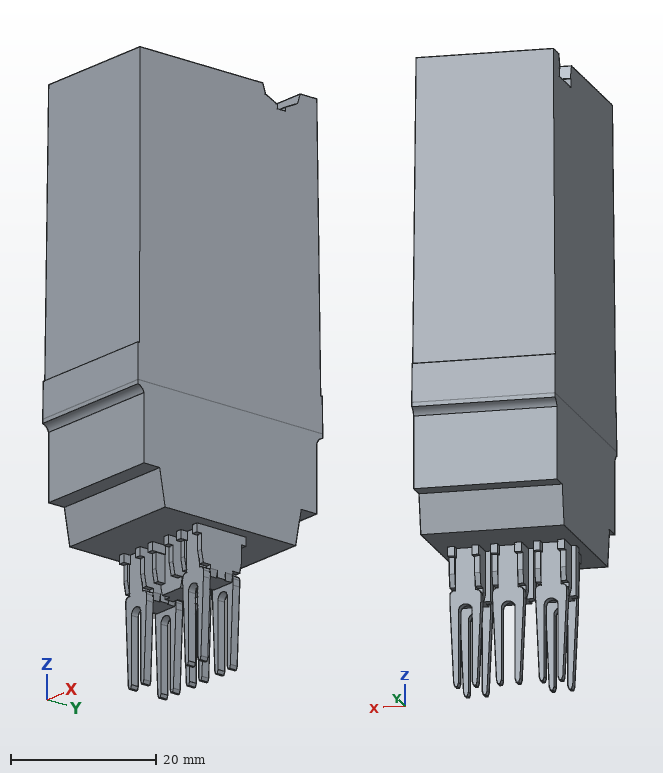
import cadquery as cq
import math


OVERALL_HEIGHT = 88.4

CASE_WIDTH = 20.4
CASE_DEPTH = 33.2
CASE_TOP = 66.8
DRAFT = math.tan(math.radians(0.5))
DRAFT_START = 17.6
COVER_TOP_HALF_DEPTH = 15.9
BAND_TOP = 23.2
BAND_BOTTOM = 17.0
BAND_COVE = 1.1
BAND_COVE_RADIUS = 1.6
PLINTH_TOP = 5.6
PLINTH_TOP_HALF_DEPTH = 12.7
PLINTH_TAPER = math.tan(math.radians(10))

GROOVE_Y = 9.55
GROOVE_DEPTH = 3.2
GROOVE_TOP_HALF = 3.4
LIP_HALF = 2.7
LIP_DEPTH = 1.95
UNDERCUT_HALF = 3.1
CLIP_THICKNESS = 1.1
CLIP_GAP_HALF = 0.7
CLIP_OUTER_DEPTH = 1.4
CLIP_INNER_DEPTH = 2.6

LAMP_Y = -8.3
LAMP_RADIUS = 1.5
LAMP_NECK_RADIUS = 1.4
LAMP_NECK_HEIGHT = 0.4

TERMINAL_PITCH = 6.1
HOLDER_HALF_WIDTH = 2.2
WALL_THICKNESS = 0.8
FLANGE_HALF_DEPTH = 4.4
FLANGE_DROP = 1.3
FLANGE_THICKNESS = 1.0
WALL_HALF_DEPTH = 3.6
WALL_TAPER_DROP = 3.7
WALL_DROP = 5.6
WEB_LEFT = 2.9
WEB_HALF_THICKNESS = 0.7
CORE_DROP = 7.2
CORE_BEVEL_DROP = 6.1
CORE_BEVEL = 0.3
FORK_INNER_Y = 2.0
FORK_OUTER_Y = 3.3
FORK_DROP = OVERALL_HEIGHT - (CASE_TOP + LAMP_NECK_HEIGHT + LAMP_RADIUS)
FORK_HALF_WIDTH = 2.2
FORK_TIP_HALF_WIDTH = 1.7
SHOULDER_DROP = 6.0
SHOULDER_RADIUS = 0.6
TAPER_DROP = 7.6
SLOT_RADIUS = 1.0
SLOT_DROP = 8.0
TIP_BEVEL = 0.2
TIP_BEVEL_HEIGHT = 0.5


def mirrored(half):
    """Complete a half outline on the positive side with its mirror image about the vertical axis."""
    return half + [(-u, z) for u, z in reversed(half)]


def box(x_range, y_range, z_range):
    lengths = [high - low for low, high in (x_range, y_range, z_range)]
    return cq.Workplane("XY").box(*lengths, centered=False).translate((x_range[0], y_range[0], z_range[0]))


def case():
    half_width = CASE_WIDTH / 2
    half_depth = CASE_DEPTH / 2
    cover_bottom_half = COVER_TOP_HALF_DEPTH + (CASE_TOP - BAND_TOP) * DRAFT
    band_top_half = half_depth - (BAND_TOP - DRAFT_START) * DRAFT
    plinth_bottom_half = PLINTH_TOP_HALF_DEPTH - PLINTH_TOP * PLINTH_TAPER
    body_half = half_depth - BAND_COVE
    depth_outline = mirrored([
        (COVER_TOP_HALF_DEPTH, CASE_TOP),
        (cover_bottom_half, BAND_TOP),
        (band_top_half, BAND_TOP),
        (half_depth, DRAFT_START),
        (half_depth, BAND_BOTTOM),
        (body_half, BAND_BOTTOM),
        (body_half, PLINTH_TOP),
        (PLINTH_TOP_HALF_DEPTH, PLINTH_TOP),
        (plinth_bottom_half, 0),
    ])
    solid = cq.Workplane("YZ").polyline(depth_outline).close().extrude(half_width, both=True)
    for side in (-1, 1):
        cove_block = (
            cq.Workplane("YZ")
            .moveTo(side * body_half, BAND_BOTTOM)
            .lineTo(side * half_depth, BAND_BOTTOM)
            .radiusArc((side * body_half, BAND_BOTTOM - BAND_COVE), -side * BAND_COVE_RADIUS)
            .close()
            .extrude(half_width, both=True)
        )
        solid = solid.union(cove_block)
    top_half_width = half_width - (CASE_TOP - DRAFT_START) * DRAFT
    width_outline = mirrored([
        (top_half_width, CASE_TOP),
        (half_width, DRAFT_START),
        (half_width, 0),
    ])
    return solid.intersect(cq.Workplane("XZ").polyline(width_outline).close().extrude(CASE_DEPTH, both=True))


def lid_groove():
    """Cutter for the groove, leaving the clips standing."""
    lid_plane = cq.Workplane("YZ", origin=(0, GROOVE_Y, CASE_TOP))
    groove_outline = mirrored([
        (GROOVE_TOP_HALF, 0),
        (LIP_HALF, -LIP_DEPTH),
        (UNDERCUT_HALF, -LIP_DEPTH),
        (UNDERCUT_HALF, -GROOVE_DEPTH),
    ])
    groove = lid_plane.polyline(groove_outline).close().extrude(CASE_WIDTH / 2, both=True)
    clip_start = CASE_WIDTH / 2 - (CASE_TOP - DRAFT_START) * DRAFT - CLIP_THICKNESS
    for side in (-1, 1):
        clip_outline = [
            (side * UNDERCUT_HALF, -GROOVE_DEPTH),
            (side * UNDERCUT_HALF, -CLIP_OUTER_DEPTH),
            (side * CLIP_GAP_HALF, -CLIP_INNER_DEPTH),
            (side * CLIP_GAP_HALF, -GROOVE_DEPTH),
        ]
        clip = lid_plane.workplane(offset=clip_start).polyline(clip_outline).close().extrude(CASE_WIDTH)
        groove = groove.cut(clip)
    return groove


def lamp():
    neck_top = CASE_TOP + LAMP_NECK_HEIGHT
    neck = cq.Workplane("XY", origin=(0, LAMP_Y, CASE_TOP)).circle(LAMP_NECK_RADIUS).extrude(LAMP_NECK_HEIGHT)
    dome = (
        cq.Workplane("XZ", origin=(0, LAMP_Y, neck_top))
        .lineTo(LAMP_RADIUS, 0)
        .radiusArc((0, LAMP_RADIUS), -LAMP_RADIUS)
        .close()
        .revolve(360, (0, 0, 0), (0, 1, 0))
    )
    return neck.union(dome)


def holder():
    """Terminal holder: centre web, bevelled core and two stepped side walls."""
    web = box(
        (-WEB_LEFT, HOLDER_HALF_WIDTH),
        (-WEB_HALF_THICKNESS, WEB_HALF_THICKNESS),
        (-CORE_DROP, 0),
    )
    core_outline = mirrored([
        (HOLDER_HALF_WIDTH, 0),
        (HOLDER_HALF_WIDTH, -CORE_BEVEL_DROP),
        (HOLDER_HALF_WIDTH - CORE_BEVEL, -CORE_DROP),
    ])
    core = cq.Workplane("XZ").polyline(core_outline).close().extrude(FORK_INNER_Y, both=True)
    wall_outline = mirrored([
        (WALL_HALF_DEPTH, 0),
        (WALL_HALF_DEPTH, -WALL_TAPER_DROP),
        (FORK_OUTER_Y, -WALL_DROP),
    ])
    wall = cq.Workplane("YZ").polyline(wall_outline).close().extrude(WALL_THICKNESS)
    flange = box(
        (0, FLANGE_THICKNESS),
        (-FLANGE_HALF_DEPTH, FLANGE_HALF_DEPTH),
        (-FLANGE_DROP, 0),
    )
    left_wall = wall.union(flange).translate((-HOLDER_HALF_WIDTH, 0, 0))
    return web.union(core).union(left_wall).union(left_wall.mirror("YZ"))


def fork():
    """Two-pronged contact blade lying behind the XZ plane, at +Y."""
    neck_half = HOLDER_HALF_WIDTH - WALL_THICKNESS
    tip_bevel_top = TIP_BEVEL_HEIGHT - FORK_DROP
    thickness = FORK_OUTER_Y - FORK_INNER_Y
    blade_plane = cq.Workplane("XZ", origin=(0, FORK_OUTER_Y, 0))
    neck = box((-neck_half, neck_half), (FORK_INNER_Y, FORK_OUTER_Y), (-SHOULDER_DROP, 0))
    blade_outline = mirrored([
        (FORK_HALF_WIDTH, -SHOULDER_DROP),
        (FORK_HALF_WIDTH, -TAPER_DROP),
        (FORK_TIP_HALF_WIDTH, tip_bevel_top),
        (FORK_TIP_HALF_WIDTH - TIP_BEVEL, -FORK_DROP),
        (SLOT_RADIUS + TIP_BEVEL, -FORK_DROP),
        (SLOT_RADIUS, tip_bevel_top),
    ])
    blade = blade_plane.polyline(blade_outline).close().extrude(thickness)
    blade = blade.edges("|Y and >Z").fillet(SHOULDER_RADIUS).union(neck)
    slot_end = -SLOT_DROP - SLOT_RADIUS
    slot = (
        blade_plane.moveTo(-SLOT_RADIUS, -FORK_DROP)
        .lineTo(-SLOT_RADIUS, slot_end)
        .threePointArc((0, -SLOT_DROP), (SLOT_RADIUS, slot_end))
        .lineTo(SLOT_RADIUS, -FORK_DROP)
        .close()
        .extrude(thickness)
    )
    return blade.cut(slot)


result = case().cut(lid_groove()).union(lamp())
rear_fork = fork()
front_fork = rear_fork.mirror("XZ")
for column in (-1, 0, 1):
    terminal = holder().union(rear_fork)
    if column != 0:
        terminal = terminal.union(front_fork)
    result = result.union(terminal.translate((column * TERMINAL_PITCH, 0, 0)))